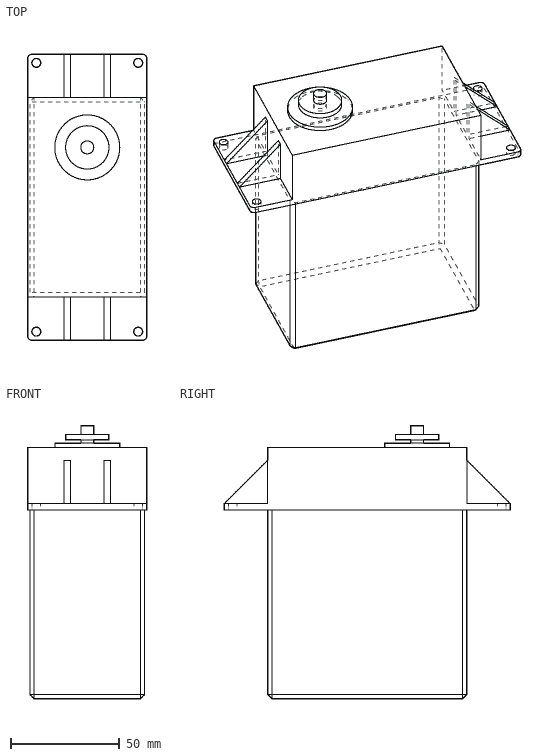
import cadquery as cq

case_height = 116.0
case_length = 92.0
upper_width = 55.0
upper_height = 29.0
lower_width = 53.0
lower_height = case_height - upper_height
lower_chamfer = 2.0

flange_reach = 20.0
flange_length = case_length + 2 * flange_reach
flange_thickness = 3.0
flange_corner_radius = 2.0
flange_top = lower_height + flange_thickness
hole_diameter = 4.0
hole_inset = 4.0

rib_thickness = 3.0
rib_spacing = 18.5
rib_height = flange_reach

shaft_y = case_length / 4
shaft_diameter = 6.0
shaft_height = 10.0
collar_diameter = 30.0
collar_height = 2.0
disc_diameter = 20.0
disc_thickness = 2.5
disc_gap = 1.5


def block(width, length, height, base_z):
    """Box centred on the Z axis, standing on base_z."""
    return (
        cq.Workplane("XY")
        .workplane(offset=base_z)
        .rect(width, length)
        .extrude(height)
    )


def lower_housing():
    """Lower case, chamfered on its vertical and bottom edges."""
    housing = block(lower_width, case_length, lower_height, 0)
    return housing.edges("|Z or <Z").chamfer(lower_chamfer)


def upper_housing():
    """Plain box that carries the flange and the shaft."""
    return block(upper_width, case_length, upper_height, lower_height)


def flange():
    """Mounting plate with rounded corners and a screw hole in each corner."""
    plate = block(upper_width, flange_length, flange_thickness, lower_height)
    plate = plate.edges("|Z").fillet(flange_corner_radius)
    hole_span_x = upper_width - 2 * hole_inset
    hole_span_y = flange_length - 2 * hole_inset
    return (
        plate.faces(">Z")
        .workplane(origin=(0, 0, flange_top))
        .rect(hole_span_x, hole_span_y, forConstruction=True)
        .vertices()
        .hole(hole_diameter)
    )


def rib(center_x, end):
    """Triangular rib on the +Y (end = 1) or -Y (end = -1) flange."""
    case_end = end * case_length / 2
    flange_end = end * flange_length / 2
    return (
        cq.Workplane("YZ")
        .workplane(offset=center_x)
        .moveTo(case_end, flange_top)
        .lineTo(flange_end, flange_top)
        .lineTo(case_end, flange_top + rib_height)
        .close()
        .extrude(rib_thickness / 2, both=True)
    )


def shaft_cylinder(diameter, height, base_z):
    """Cylinder on the output shaft axis, standing on base_z."""
    return (
        cq.Workplane("XY")
        .workplane(offset=base_z)
        .center(0, shaft_y)
        .circle(diameter / 2)
        .extrude(height)
    )


def shaft_stack():
    """Collar, output shaft and disc on one axis."""
    collar = shaft_cylinder(collar_diameter, collar_height, case_height)
    shaft = shaft_cylinder(shaft_diameter, shaft_height, case_height)
    disc_base = case_height + collar_height + disc_gap
    disc = shaft_cylinder(disc_diameter, disc_thickness, disc_base)
    return collar.union(shaft).union(disc)


result = lower_housing().union(upper_housing()).union(flange())
for flange_side in (-1, 1):
    for rib_side in (-1, 1):
        result = result.union(rib(rib_side * rib_spacing / 2, flange_side))
result = result.union(shaft_stack())